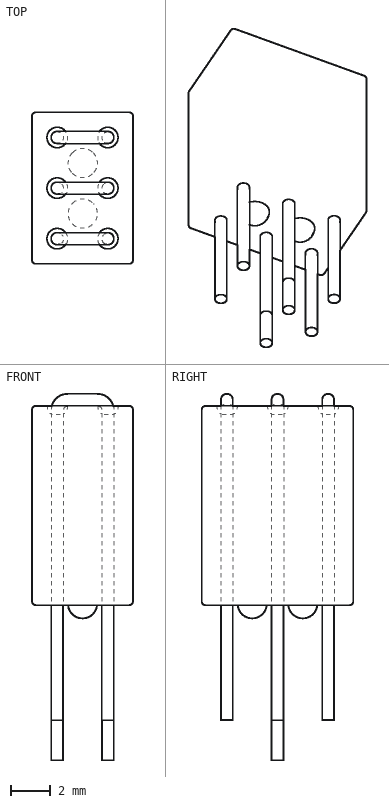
import cadquery as cq

PITCH = 2.54
ROWS = (-1, 0, 1)
SIDES = (-1, 1)
HOUSING_X = 2 * PITCH
HOUSING_Y = 3 * PITCH
HOUSING_HEIGHT = 10.01
EDGE_RADIUS = 0.2

TOTAL_HEIGHT = 18.4
WIRE_DIAMETER = 0.6
WIRE_RADIUS = WIRE_DIAMETER / 2
BEND_RADIUS = 0.52
LEG_X = PITCH / 2
LOOP_AXIS_Z = HOUSING_HEIGHT + WIRE_RADIUS

EXTENSION_LENGTH = 2.02
LONG_LEG = TOTAL_HEIGHT - HOUSING_HEIGHT - WIRE_DIAMETER
SHORT_LEG = LONG_LEG - EXTENSION_LENGTH

DIMPLE_RADIUS = 0.52
STANDOFF_RADIUS = 0.74
STANDOFF_DROP = 0.66
STANDOFF_Y = PITCH / 2


def make_ball(radius, center):
    return cq.Workplane("XY").sphere(radius).translate(center)


def make_wire(y):
    """Inverted-U wire lying in the plane at the given Y."""
    bend_start_z = LOOP_AXIS_Z - BEND_RADIUS
    bend_end_x = LEG_X - BEND_RADIUS
    path = (
        cq.Workplane("XZ", origin=(0, y, 0))
        .moveTo(-LEG_X, -SHORT_LEG)
        .lineTo(-LEG_X, bend_start_z)
        .radiusArc((-bend_end_x, LOOP_AXIS_Z), BEND_RADIUS)
        .lineTo(bend_end_x, LOOP_AXIS_Z)
        .radiusArc((LEG_X, bend_start_z), BEND_RADIUS)
        .lineTo(LEG_X, -SHORT_LEG)
    )
    profile = cq.Workplane("XY", origin=(-LEG_X, y, -SHORT_LEG)).circle(WIRE_RADIUS)
    return profile.sweep(path)


def make_leg_extension(x):
    """Rod from the end of a middle leg down to the lowest level."""
    return cq.Workplane("XY", origin=(x, 0, -LONG_LEG)).circle(WIRE_RADIUS).extrude(EXTENSION_LENGTH)


def make_housing(wires):
    """Block with standoffs below, dimples on top and passages that fit the wires."""
    body = cq.Workplane("XY").box(HOUSING_X, HOUSING_Y, HOUSING_HEIGHT, centered=(True, True, False))
    body = body.edges().fillet(EDGE_RADIUS)

    for side in SIDES:
        standoff_center = (0, side * STANDOFF_Y, STANDOFF_RADIUS - STANDOFF_DROP)
        body = body.union(make_ball(STANDOFF_RADIUS, standoff_center))

    for row in ROWS:
        for side in SIDES:
            dimple_center = (side * LEG_X, row * PITCH, HOUSING_HEIGHT)
            body = body.cut(make_ball(DIMPLE_RADIUS, dimple_center))

    for wire in wires:
        body = body.cut(wire)
    return body


wires = [make_wire(row * PITCH) for row in ROWS]
leg_extensions = [make_leg_extension(side * LEG_X) for side in SIDES]
housing = make_housing(wires)

result = cq.Compound.makeCompound(
    [
        housing.solids().val(),
        *[wire.val() for wire in wires],
        *[extension.val() for extension in leg_extensions],
    ]
)